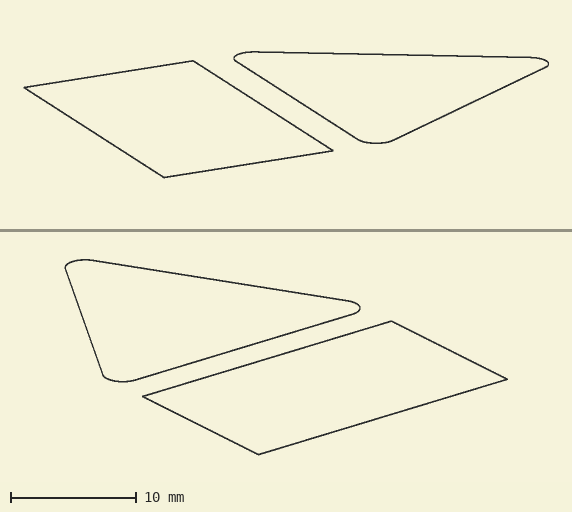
import cadquery as cq
import math

overall_length = 40.1
plate_width = 25.0
plate_thickness = 0.05
rectangle_depth = 15.0
corner_radius = 1.6

center_side = plate_width - 2 * corner_radius
center_height = center_side * math.sqrt(3) / 2
center_base_y = overall_length - corner_radius - center_height


def make_rectangle_plate():
    """Sharp-cornered plate with its front edge at Y = 0."""
    return cq.Workplane("XY").box(
        plate_width, rectangle_depth, plate_thickness, centered=(True, False, False)
    )


def make_triangle_plate():
    """Equilateral plate with rounded corners, pointing toward +Y."""
    corner_centers = [
        (-center_side / 2, center_base_y),
        (center_side / 2, center_base_y),
        (0, center_base_y + center_height),
    ]
    return (
        cq.Workplane("XY")
        .polyline(corner_centers)
        .close()
        .offset2D(corner_radius, "arc")
        .extrude(plate_thickness)
    )


rectangle_plate = make_rectangle_plate()
triangle_plate = make_triangle_plate()

result = cq.Compound.makeCompound([rectangle_plate.val(), triangle_plate.val()])